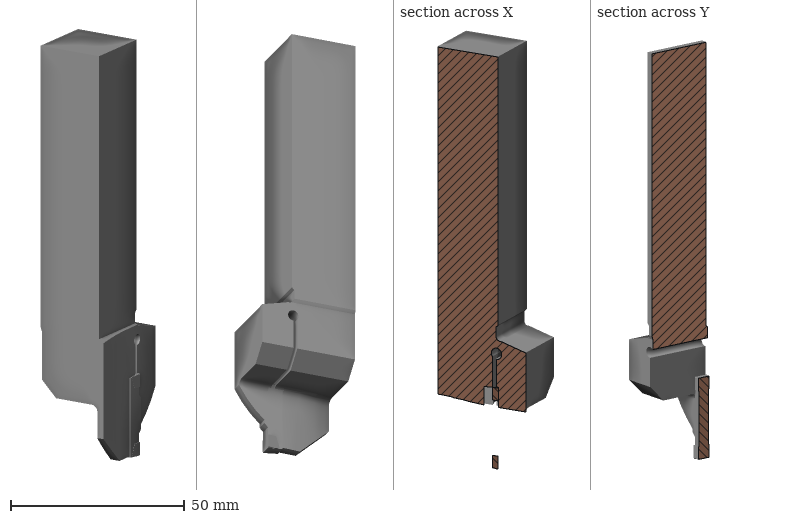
import cadquery as cq

TOTAL_LENGTH = 125.0
SHANK_SIZE = 20.0
HEAD_DEPTH = 29.1
HEAD_LEFT_X = 0.4
HEAD_RIGHT_X = 21.5
HEAD_BOTTOM_Z = 19.8
HEAD_CHAMFER = 4.9
LEFT_STEP_TOP_Z = 40.2
LEFT_STEP_BOTTOM_Z = 39.1
RIGHT_STEP_TOP_Z = 39.9
RIGHT_STEP_BOTTOM_Z = 38.9

GROOVE_FLOOR_Y = 19.2
GROOVE_TOP_Z = 43.8
GROOVE_FLOOR_TOP_Z = 43.0
GROOVE_FLOOR_BOTTOM_Z = 40.4
JAW_ROOT = (20.9, 39.0)
JAW_TOP_Z = 36.8
JAW_BOTTOM_Z = 18.5
JAW_CURVE_MIDDLE = (24.4, 11.9)
JAW_TIP = (21.1, 8.8)

BLADE_BOTTOM_Z = 0.9
BLADE_CHAMFER_Y = 9.9
BLADE_CHAMFER_Z = 10.0
BLADE_OUTER_X = 20.6
BLADE_INNER_X = 17.4
BLADE_INNER_FRONT_X = 19.4
BLADE_FILLET = 1.9

SLIT_NEAR_Y = 18.1
SLIT_WIDTH = 1.1
SLIT_HOLE_Y = 19.4
SLIT_HOLE_Z = 35.0
SLIT_HOLE_RADIUS = 1.6

INSERT_LENGTH = 24.9
INSERT_NEAR_Y = 15.4
INSERT_TIP_Y = 20.0
INSERT_WAIST_Y = 21.1
WAIST_START_Z = 7.8
INSERT_BODY_LEFT_X = 17.4
INSERT_BODY_RIGHT_X = 20.9
INSERT_HEAD_LEFT_X = 16.9
INSERT_HEAD_RIGHT_X = 21.2
INSERT_HEAD_LENGTH = 4.1
HEAD_SHOULDER_Y = 17.5
HEAD_RELIEF_Y = 16.2
END_RELIEF = 0.5
CORNER_BEVEL = 0.4

MARGIN = 6.2


def side_prism(outline, x_start, x_end):
    """Extrude a (Y, Z) outline wire between two X positions."""
    return outline.close().extrude(x_end - x_start).translate((x_start, 0, 0))


def make_body_envelope():
    """Common volume of the width outline and the depth outline."""
    width_outline = (
        cq.Workplane("XZ")
        .moveTo(0, TOTAL_LENGTH)
        .lineTo(SHANK_SIZE, TOTAL_LENGTH)
        .lineTo(SHANK_SIZE, RIGHT_STEP_TOP_Z)
        .lineTo(HEAD_RIGHT_X, RIGHT_STEP_BOTTOM_Z)
        .lineTo(HEAD_RIGHT_X, 0)
        .lineTo(HEAD_LEFT_X + HEAD_CHAMFER, 0)
        .lineTo(HEAD_LEFT_X + HEAD_CHAMFER, HEAD_BOTTOM_Z)
        .lineTo(HEAD_LEFT_X, HEAD_BOTTOM_Z + HEAD_CHAMFER)
        .lineTo(HEAD_LEFT_X, LEFT_STEP_BOTTOM_Z)
        .lineTo(0, LEFT_STEP_TOP_Z)
        .close()
        .extrude(-HEAD_DEPTH)
    )
    depth_outline = (
        cq.Workplane("YZ")
        .moveTo(0, TOTAL_LENGTH)
        .lineTo(SHANK_SIZE, TOTAL_LENGTH)
        .lineTo(SHANK_SIZE, GROOVE_TOP_Z)
        .lineTo(GROOVE_FLOOR_Y, GROOVE_FLOOR_TOP_Z)
        .lineTo(GROOVE_FLOOR_Y, GROOVE_FLOOR_BOTTOM_Z)
        .tangentArcPoint(JAW_ROOT, relative=False)
        .lineTo(HEAD_DEPTH, JAW_TOP_Z)
        .lineTo(HEAD_DEPTH, JAW_BOTTOM_Z)
        .threePointArc(JAW_CURVE_MIDDLE, JAW_TIP)
        .lineTo(INSERT_NEAR_Y, BLADE_BOTTOM_Z)
        .lineTo(BLADE_CHAMFER_Y, BLADE_BOTTOM_Z)
        .lineTo(0, BLADE_CHAMFER_Z)
    )
    return width_outline.intersect(side_prism(depth_outline, 0, HEAD_RIGHT_X))


def blade_face_outline(flat_x, front_x, far_x):
    """Plan region between far_x and a blade face that bows outward toward Y = 0."""
    return (
        cq.Workplane("XY")
        .moveTo(flat_x, HEAD_DEPTH)
        .lineTo(flat_x, INSERT_NEAR_Y)
        .tangentArcPoint((front_x, 0), relative=False)
        .lineTo(far_x, 0)
        .lineTo(far_x, HEAD_DEPTH)
        .close()
    )


def make_outer_relief():
    """Material removed outside the curved +X face of the head."""
    outline = blade_face_outline(BLADE_OUTER_X, HEAD_RIGHT_X, HEAD_RIGHT_X + MARGIN)
    return outline.extrude(RIGHT_STEP_TOP_Z)


def make_under_head_relief():
    """Space below the head, rounded where it meets the curved blade."""
    relief = blade_face_outline(BLADE_INNER_X, BLADE_INNER_FRONT_X, -MARGIN).extrude(HEAD_BOTTOM_Z)
    blade_edges = cq.selectors.BoxSelector(
        (BLADE_INNER_X - 1.2, -1.2, HEAD_BOTTOM_Z - 1.2),
        (BLADE_INNER_FRONT_X + 1.2, HEAD_DEPTH + 1.2, HEAD_BOTTOM_Z + 1.2),
    )
    return relief.faces(">Z").edges(blade_edges).fillet(BLADE_FILLET)


def make_slit():
    """Round relief hole with a narrow slit running down to the insert seat."""
    hole = (
        cq.Workplane("YZ")
        .center(SLIT_HOLE_Y, SLIT_HOLE_Z)
        .circle(SLIT_HOLE_RADIUS)
        .extrude(HEAD_RIGHT_X)
    )
    slot = cq.Workplane("XY").box(
        HEAD_RIGHT_X, SLIT_WIDTH, SLIT_HOLE_Z - WAIST_START_Z, centered=False
    )
    return hole.union(slot.translate((0, SLIT_NEAR_Y, WAIST_START_Z)))


def insert_side_prism(x_start, x_end):
    """Side shape of the insert: two tips and a raised waist."""
    rise = INSERT_WAIST_Y - INSERT_TIP_Y
    outline = (
        cq.Workplane("YZ")
        .moveTo(INSERT_TIP_Y, 0)
        .lineTo(INSERT_TIP_Y, WAIST_START_Z - rise)
        .lineTo(INSERT_WAIST_Y, WAIST_START_Z)
        .lineTo(INSERT_WAIST_Y, INSERT_LENGTH - WAIST_START_Z)
        .lineTo(INSERT_TIP_Y, INSERT_LENGTH - WAIST_START_Z + rise)
        .lineTo(INSERT_TIP_Y, INSERT_LENGTH)
        .lineTo(INSERT_NEAR_Y, INSERT_LENGTH - END_RELIEF)
        .lineTo(INSERT_NEAR_Y, END_RELIEF)
    )
    return side_prism(outline, x_start, x_end)


def make_holder():
    seat = insert_side_prism(INSERT_HEAD_LEFT_X, HEAD_RIGHT_X)
    return (
        make_body_envelope()
        .cut(make_outer_relief())
        .cut(make_under_head_relief())
        .cut(make_slit())
        .cut(seat)
    )


def make_cutting_head():
    """Lower cutting head, widest at the cutting edge and relieved toward -Y."""
    plan = (
        cq.Workplane("XY")
        .moveTo(INSERT_HEAD_LEFT_X, INSERT_TIP_Y)
        .lineTo(INSERT_HEAD_RIGHT_X, INSERT_TIP_Y)
        .lineTo(INSERT_BODY_RIGHT_X, HEAD_RELIEF_Y)
        .lineTo(INSERT_BODY_LEFT_X, HEAD_RELIEF_Y)
        .close()
        .extrude(INSERT_HEAD_LENGTH)
    )
    side = (
        cq.Workplane("YZ")
        .moveTo(INSERT_TIP_Y, 0)
        .lineTo(INSERT_TIP_Y, INSERT_HEAD_LENGTH)
        .lineTo(HEAD_SHOULDER_Y, INSERT_HEAD_LENGTH)
        .lineTo(HEAD_RELIEF_Y, END_RELIEF)
    )
    bevel_profile = (
        cq.Workplane("XZ")
        .moveTo(INSERT_HEAD_LEFT_X + CORNER_BEVEL, 0)
        .lineTo(INSERT_HEAD_RIGHT_X - CORNER_BEVEL, 0)
        .lineTo(INSERT_HEAD_RIGHT_X, CORNER_BEVEL)
        .lineTo(INSERT_HEAD_RIGHT_X, INSERT_HEAD_LENGTH)
        .lineTo(INSERT_HEAD_LEFT_X, INSERT_HEAD_LENGTH)
        .lineTo(INSERT_HEAD_LEFT_X, CORNER_BEVEL)
        .close()
        .extrude(-INSERT_WAIST_Y)
    )
    side_solid = side_prism(side, INSERT_HEAD_LEFT_X, INSERT_HEAD_RIGHT_X)
    return plan.intersect(side_solid).intersect(bevel_profile)


def make_insert():
    body = insert_side_prism(INSERT_BODY_LEFT_X, INSERT_BODY_RIGHT_X)
    lower_head = make_cutting_head()
    upper_head = lower_head.mirror("XY", (0, 0, INSERT_LENGTH / 2))
    return body.union(lower_head).union(upper_head)


holder = make_holder()
insert = make_insert()

result = cq.Compound.makeCompound([holder.val(), insert.val()])